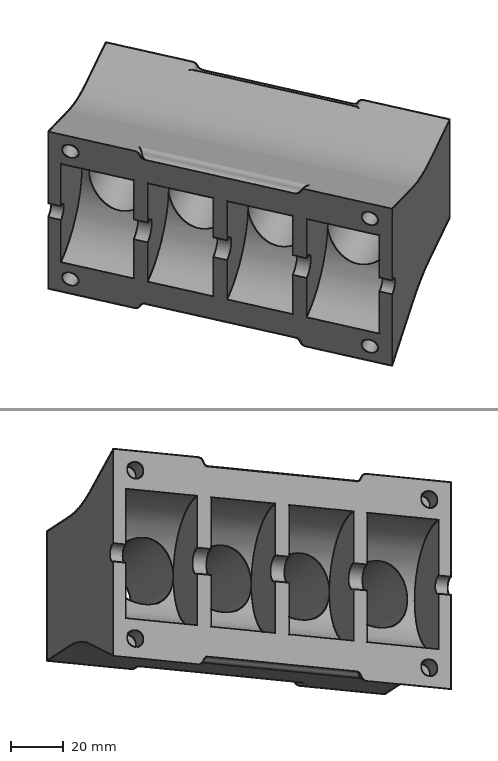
import cadquery as cq
import math

length = 137.41
depth = 69.85
front_height = 81.25
back_height = 50.8
flare_blend_radius = 50.8

bay_count = 4
bay_pitch = 31.75
bore_diameter = 26.19
pocket_radius = 25.4
end_wall_thickness = 5.08

partition_groove_radius = 5.1
end_groove_radius = 3.57

hole_diameter = 6.6
hole_depth = 8.0
hole_spacing_x = 119.6
hole_spacing_z = 66.0

grip_half_length = 34.3
front_grip_width = 5.6
back_grip_width = 5.3
grip_depth = 3.1
grip_wall_radius = 2.38

overshoot = 2.0
cutter_headroom = 10.0

front_y = -depth / 2
back_y = depth / 2
front_half = front_height / 2
back_half = back_height / 2
flare_angle = math.atan((front_half - back_half) / (depth / 2))
grip_wall_sweep = math.acos(1 - grip_depth / (2 * grip_wall_radius))
grip_wall_run = 2 * grip_wall_radius * math.sin(grip_wall_sweep)


def make_block():
    """Extrude the side outline along X; each flare bends from the flat at mid-depth."""
    tangent_length = flare_blend_radius * math.tan(flare_angle / 2)
    flat_end = tangent_length
    arc_centre_z = back_half + flare_blend_radius
    mid_angle = flare_angle / 2
    arc_mid = (
        flat_end - flare_blend_radius * math.sin(mid_angle),
        arc_centre_z - flare_blend_radius * math.cos(mid_angle),
    )
    arc_end = (
        -tangent_length * math.cos(flare_angle),
        back_half + tangent_length * math.sin(flare_angle),
    )
    upper_half = (
        cq.Workplane("YZ")
        .moveTo(back_y, 0)
        .lineTo(back_y, back_half)
        .lineTo(flat_end, back_half)
        .threePointArc(arc_mid, arc_end)
        .lineTo(front_y, front_half)
        .lineTo(front_y, 0)
        .close()
        .extrude(length / 2, both=True)
    )
    return upper_half.union(upper_half.mirror("XY")).clean()


def x_cylinder(radius, x_start, x_end):
    """Cylinder along X with its axis in the front face at mid-height."""
    return (
        cq.Workplane("YZ", origin=(x_start, 0, 0))
        .center(front_y, 0)
        .circle(radius)
        .extrude(x_end - x_start)
    )


def cut_bays(body):
    """Half-cylinder pockets with through bores; the end pockets reach out to the end walls."""
    for index in range(bay_count):
        centre_x = (index - (bay_count - 1) / 2) * bay_pitch
        x_start = centre_x - bore_diameter / 2
        x_end = centre_x + bore_diameter / 2
        if index == 0:
            x_start = -length / 2 + end_wall_thickness
        if index == bay_count - 1:
            x_end = length / 2 - end_wall_thickness
        bore = (
            cq.Workplane("XZ", origin=(centre_x, back_y + overshoot, 0))
            .circle(bore_diameter / 2)
            .extrude(depth + 2 * overshoot)
        )
        body = body.cut(x_cylinder(pocket_radius, x_start, x_end)).cut(bore)
    return body


def cut_grooves(body):
    """Wide groove across the inner partitions, narrower groove through the end walls."""
    outer_bay_x = (bay_count - 1) / 2 * bay_pitch
    body = body.cut(x_cylinder(partition_groove_radius, -outer_bay_x, outer_bay_x))
    half_run = length / 2 + overshoot
    return body.cut(x_cylinder(end_groove_radius, -half_run, half_run))


def cut_face_holes(body):
    holes = (
        cq.Workplane("XZ", origin=(0, front_y, 0))
        .rect(hole_spacing_x, hole_spacing_z, forConstruction=True)
        .vertices()
        .circle(hole_diameter / 2)
        .extrude(-hole_depth)
    )
    return body.cut(holes)


def grip_wall(outer):
    """Points of a wall that starts level at outer and ends level at the grip floor.

    Returned as (distance, depth) pairs: the start, then middle and end of the convex roll,
    then middle and end of the concave sweep that meets the floor.
    """
    floor_edge = outer - grip_wall_run

    def convex_point(angle):
        return (
            outer - grip_wall_radius * math.sin(angle),
            -grip_wall_radius * (1 - math.cos(angle)),
        )

    def concave_point(angle):
        return (
            floor_edge + grip_wall_radius * math.sin(angle),
            -grip_depth + grip_wall_radius * (1 - math.cos(angle)),
        )

    return [
        (outer, 0),
        convex_point(grip_wall_sweep / 2),
        convex_point(grip_wall_sweep),
        concave_point(grip_wall_sweep / 2),
        concave_point(0),
    ]


def grip_tool(edge, inward, tilt, width):
    """Cutter for one grip, built in a frame whose plane lies in the sloping surface.

    The inner wall is swept along X and the two end walls along the slope; the grip is
    what both sweeps share, so the walls meet in mitred corners.
    """
    slope = cq.Vector(0, inward * math.cos(tilt), -math.sin(tilt))
    x_axis = cq.Vector(1, 0, 0)
    normal = cq.Vector(0, inward * math.sin(tilt), math.cos(tilt))

    start, roll_mid, roll_end, sweep_mid, sweep_end = grip_wall(width)
    inner_sweep = (
        cq.Workplane(cq.Plane(edge, slope, slope.cross(normal)))
        .moveTo(*start)
        .threePointArc(roll_mid, roll_end)
        .threePointArc(sweep_mid, sweep_end)
        .lineTo(-overshoot, -grip_depth)
        .lineTo(-overshoot, cutter_headroom)
        .lineTo(width, cutter_headroom)
        .close()
        .extrude(grip_half_length, both=True)
    )

    def mirrored(point):
        return (-point[0], point[1])

    start, roll_mid, roll_end, sweep_mid, sweep_end = grip_wall(grip_half_length)
    end_sweep = (
        cq.Workplane(cq.Plane(edge, x_axis, x_axis.cross(normal)))
        .moveTo(*start)
        .threePointArc(roll_mid, roll_end)
        .threePointArc(sweep_mid, sweep_end)
        .lineTo(*mirrored(sweep_end))
        .threePointArc(mirrored(sweep_mid), mirrored(roll_end))
        .threePointArc(mirrored(roll_mid), mirrored(start))
        .lineTo(-grip_half_length, cutter_headroom)
        .lineTo(grip_half_length, cutter_headroom)
        .close()
        .extrude(width + overshoot, both=True)
    )
    return inner_sweep.intersect(end_sweep)


def cut_grips(body):
    """Cut the front and back grips on the upper edges and mirror them to the lower edges."""
    front_grip = grip_tool((0, front_y, front_half), 1, flare_angle, front_grip_width)
    back_grip = grip_tool((0, back_y, back_half), -1, 0.0, back_grip_width)
    for grip in (front_grip, back_grip):
        body = body.cut(grip).cut(grip.mirror("XY"))
    return body


result = make_block()
result = cut_bays(result)
result = cut_grooves(result)
result = cut_face_holes(result)
result = cut_grips(result)